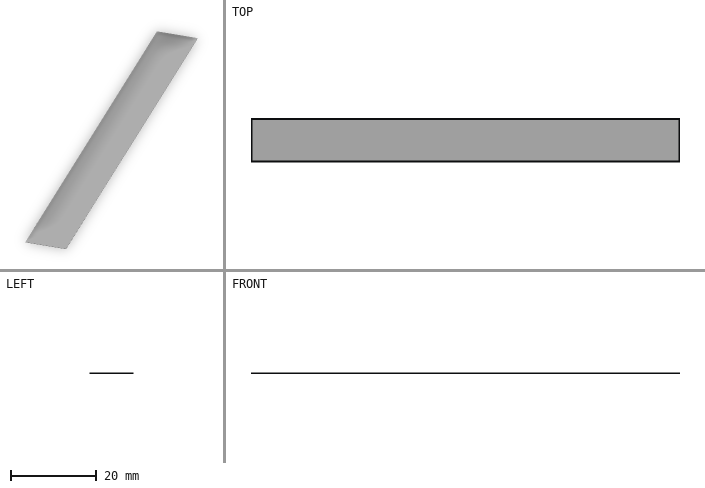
import cadquery as cq

length = 100.0
width = 10.0
thickness = 0.1

result = cq.Workplane("XY").box(length, width, thickness)